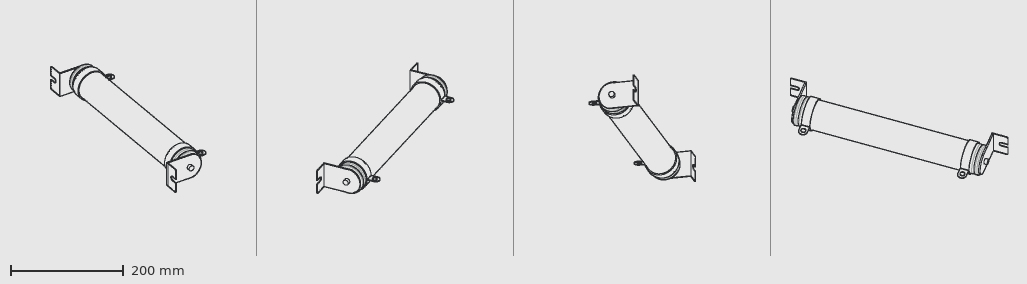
import cadquery as cq

overall_length = 410.0
half_length = overall_length / 2

tube_diameter = 55.5
tube_radius = tube_diameter / 2
rim_fillet = 2.5
cap_length = 9.0
cap_joint_fillet = 3.08

foot_length = 27.5
plate_thickness = 3.0
foot_thickness = 1.5
bracket_width = 48.0
plate_round_radius = 25.0
bracket_drop = 47.0
foot_corner_radius = 3.0
slot_width = 8.0
slot_depth = 16.5

pin_diameter = 10.2
pin_length = 6.0

band_diameter = 60.0
band_width = 16.0
band_inset = 17.0
lug_thickness = 1.5
lug_reach = 51.0
lug_hole_diameter = 8.5
lug_hole_reach = 41.0

plate_outer_x = half_length - foot_length
tube_end_x = plate_outer_x - plate_thickness
band_center_x = tube_end_x - band_inset - band_width / 2


def axial_cylinder(diameter, start_x, length):
    return cq.Workplane("YZ").workplane(offset=start_x).circle(diameter / 2).extrude(length)


def make_tube_middle():
    return axial_cylinder(tube_diameter, -band_center_x, 2 * band_center_x)


def make_tube_end():
    joint_x = tube_end_x - cap_length
    joint_radius = tube_radius - cap_joint_fillet
    arc_mid_offset = cap_joint_fillet * (1 - 0.5**0.5)
    return (
        cq.Workplane("XY")
        .moveTo(band_center_x, 0)
        .lineTo(band_center_x, tube_radius)
        .lineTo(joint_x - cap_joint_fillet, tube_radius)
        .tangentArcPoint((joint_x, joint_radius), relative=False)
        .threePointArc(
            (joint_x + arc_mid_offset, tube_radius - arc_mid_offset),
            (joint_x + cap_joint_fillet, tube_radius),
        )
        .lineTo(tube_end_x - rim_fillet, tube_radius)
        .tangentArcPoint((tube_end_x, tube_radius - rim_fillet), relative=False)
        .lineTo(tube_end_x, 0)
        .close()
        .revolve(360, (0, 0), (1, 0))
    )


def make_bracket():
    half_width = bracket_width / 2
    round_start_y = (plate_round_radius**2 - half_width**2) ** 0.5
    plate = (
        cq.Workplane("YZ")
        .workplane(offset=tube_end_x)
        .moveTo(-bracket_drop, -half_width)
        .lineTo(round_start_y, -half_width)
        .threePointArc((plate_round_radius, 0), (round_start_y, half_width))
        .lineTo(-bracket_drop, half_width)
        .close()
        .extrude(plate_thickness)
    )
    foot = (
        cq.Workplane("XY")
        .box(half_length - tube_end_x, foot_thickness, bracket_width, centered=(False, False, True))
        .translate((tube_end_x, -bracket_drop, 0))
        .edges("|Y and >X")
        .fillet(foot_corner_radius)
    )
    slot = (
        cq.Workplane("XZ", origin=(half_length, -bracket_drop, 0))
        .slot2D(2 * slot_depth, slot_width)
        .extrude(foot_thickness, both=True)
    )
    return plate.union(foot.cut(slot))


def make_band():
    band = axial_cylinder(band_diameter, band_center_x - band_width / 2, band_width)
    half_width = band_width / 2
    shoulder_y = lug_reach - half_width
    lug = (
        cq.Workplane("XY", origin=(band_center_x, 0, -lug_thickness / 2))
        .moveTo(-half_width, 0)
        .lineTo(-half_width, shoulder_y)
        .threePointArc((0, lug_reach), (half_width, shoulder_y))
        .lineTo(half_width, 0)
        .close()
        .extrude(lug_thickness)
    )
    hole = (
        cq.Workplane("XY", origin=(band_center_x, lug_hole_reach, 0))
        .circle(lug_hole_diameter / 2)
        .extrude(lug_thickness, both=True)
    )
    return band.union(lug.cut(hole))


def make_end_assembly():
    pin = axial_cylinder(pin_diameter, tube_end_x, plate_thickness + pin_length)
    return make_tube_end().union(make_bracket()).union(pin).union(make_band())


end_assembly = make_end_assembly()
result = make_tube_middle().union(end_assembly).union(end_assembly.mirror("YZ"))